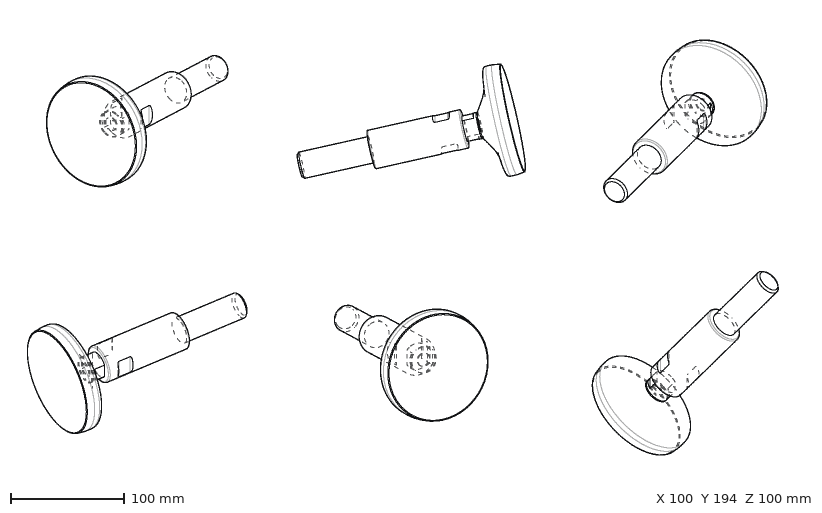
import cadquery as cq
import math


PAD_DIAMETER = 100.0
PAD_BASE_DIAMETER = 98.0
PAD_BASE_CHAMFER_AXIAL = 0.5
PAD_BASE_CHAMFER_RADIAL = 1.0
PAD_TAPER_HEIGHT = 7.6
PAD_RIM_HEIGHT = 12.8
PAD_HEIGHT = 29.8
DOME_TOP_DIAMETER = 24.0
DOME_TOP_SLOPE = math.radians(33.0)
DOME_CURVE_POINTS = [(49.2, 15.4), (47.0, 16.5), (38.0, 17.7), (27.0, 20.7)]

NECK_DIAMETER = 12.0
NECK_LENGTH = 1.2
SPINDLE_DIAMETER = 24.0
SPINDLE_END_CHAMFER = 2.0
SPINDLE_FLATS_WIDTH = 20.0
COLLAR_LENGTH = 2.5
TOTAL_LENGTH = 194.0

SLEEVE_DIAMETER = 35.0
SLEEVE_START = 43.8
SLEEVE_LENGTH = 85.2
SLEEVE_EDGE_RADIUS = 1.2
WRENCH_FLATS_WIDTH = 30.0
WRENCH_SLOT_START = 54.0
WRENCH_SLOT_LENGTH = 15.0
WRENCH_SLOT_FILLET = 1.75

SPINDLE_START = PAD_HEIGHT + NECK_LENGTH
SLEEVE_END = SLEEVE_START + SLEEVE_LENGTH


def revolve_about_y(profile):
    return profile.close().revolve(360, (0, 0, 0), (0, 1, 0))


def cylinder_along_y(diameter, start, end):
    return cq.Workplane("XZ", origin=(0, start, 0)).circle(diameter / 2).extrude(start - end)


def make_pad():
    rim_radius = PAD_DIAMETER / 2
    base_radius = PAD_BASE_DIAMETER / 2
    top_radius = DOME_TOP_DIAMETER / 2
    dome_start_direction = (0, 1)
    dome_end_direction = (-math.cos(DOME_TOP_SLOPE), math.sin(DOME_TOP_SLOPE))

    profile = (
        cq.Workplane("XY")
        .lineTo(base_radius - PAD_BASE_CHAMFER_RADIAL, 0)
        .lineTo(base_radius, PAD_BASE_CHAMFER_AXIAL)
        .lineTo(rim_radius, PAD_TAPER_HEIGHT)
        .lineTo(rim_radius, PAD_RIM_HEIGHT)
        .spline(
            [*DOME_CURVE_POINTS, (top_radius, PAD_HEIGHT)],
            tangents=[dome_start_direction, dome_end_direction],
            scale=False,
            includeCurrent=True,
        )
        .lineTo(0, PAD_HEIGHT)
    )
    return revolve_about_y(profile)


def cut_flats(body, width, start, length, corner_fillet=0.0):
    """Cut two parallel flats facing -X and +X, with optional rounded floor corners."""
    cutter_size = SLEEVE_DIAMETER
    for side in (-1, 1):
        cutter = cq.Workplane("XY").box(cutter_size, length, cutter_size)
        cutter = cutter.translate((side * (width + cutter_size) / 2, start + length / 2, 0))
        if corner_fillet:
            floor = "<X" if side > 0 else ">X"
            cutter = cutter.faces(floor).edges("|Z").fillet(corner_fillet)
        body = body.cut(cutter)
    return body


def make_spindle():
    neck = cylinder_along_y(NECK_DIAMETER, PAD_HEIGHT, SPINDLE_START)
    rod = cylinder_along_y(SPINDLE_DIAMETER, SPINDLE_START, TOTAL_LENGTH)
    rod = rod.faces(">Y").chamfer(SPINDLE_END_CHAMFER)
    flats_start = SPINDLE_START + COLLAR_LENGTH
    rod = cut_flats(rod, SPINDLE_FLATS_WIDTH, flats_start, SLEEVE_START - flats_start)
    return neck.union(rod)


def make_sleeve():
    sleeve = cylinder_along_y(SLEEVE_DIAMETER, SLEEVE_START, SLEEVE_END)
    sleeve = sleeve.faces("<Y or >Y").edges().fillet(SLEEVE_EDGE_RADIUS)
    return cut_flats(sleeve, WRENCH_FLATS_WIDTH, WRENCH_SLOT_START, WRENCH_SLOT_LENGTH, WRENCH_SLOT_FILLET)


result = make_pad().union(make_spindle()).union(make_sleeve())